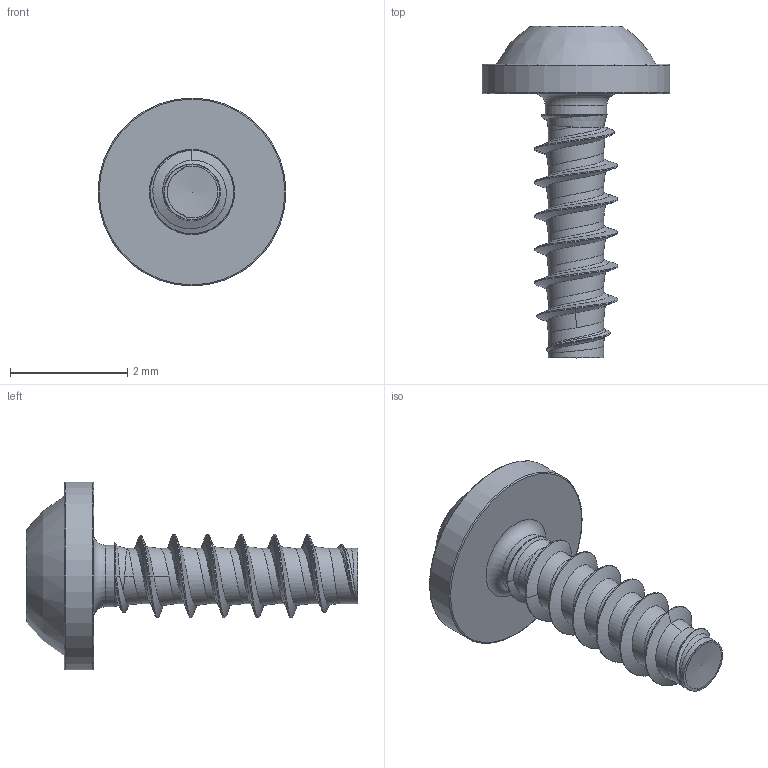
import cadquery as cq
import math


washer_radius = 1.6
washer_thickness = 0.5
washer_edge_round = 0.02
dome_base_radius = 1.36
dome_top_radius = 0.78
dome_height = 0.65
dome_bulge = 0.06

shank_length = 4.5
neck_radius = 0.525
neck_fillet = 0.2
root_radius = 0.47
thread_start_depth = 0.35
root_start_depth = 0.57
tip_dish_radius = 0.44
tip_dish_depth = 0.03

pitch = 0.57
crest_radius = 0.71
crest_flat = 0.02
upper_flank_width = 0.105
upper_flank_break = (0.058, 0.555)
lower_flank_width = 0.082
ramp_top_radius = 0.503
ramp_end = 0.38
foot_radius = 0.465
burial_radius = 0.42
burial_inset = 0.01
zero_turn_depth = 0.656
points_per_turn = 24

run_up_start_turn = -1.0
helix_start_turn = -0.5
full_height_turn = 0.5
run_out_start_turn = 5.25
run_out_end_turn = 6.7
run_up_start_depth = 0.34
run_up_start_width = 0.45
run_up_start_height = 0.3
run_out_end_width = 0.5
run_out_end_height = 0


def make_body():
    """Dome, washer, neck and core turned as one profile about the Y axis."""
    dome_top = washer_thickness + dome_height
    chord_run = dome_base_radius - dome_top_radius
    chord = math.hypot(chord_run, dome_height)
    dome_mid = (
        (dome_base_radius + dome_top_radius) / 2 + dome_bulge * dome_height / chord,
        washer_thickness + dome_height / 2 + dome_bulge * chord_run / chord,
    )
    diagonal = neck_fillet * (1 - math.sqrt(0.5))
    neck_mid = (neck_radius + diagonal, -diagonal)
    washer_side = washer_radius - washer_edge_round
    edge_diagonal = washer_edge_round * (1 - math.sqrt(0.5))
    edge_mid_radius = washer_radius - edge_diagonal
    profile = (
        cq.Workplane("XY")
        .moveTo(0, dome_top)
        .lineTo(dome_top_radius, dome_top)
        .threePointArc(dome_mid, (dome_base_radius, washer_thickness))
        .lineTo(washer_side, washer_thickness)
        .threePointArc(
            (edge_mid_radius, washer_thickness - edge_diagonal),
            (washer_radius, washer_thickness - washer_edge_round),
        )
        .lineTo(washer_radius, washer_edge_round)
        .threePointArc((edge_mid_radius, edge_diagonal), (washer_side, 0))
        .lineTo(neck_radius + neck_fillet, 0)
        .threePointArc(neck_mid, (neck_radius, -neck_fillet))
        .lineTo(neck_radius, -thread_start_depth)
        .lineTo(root_radius, -root_start_depth)
        .lineTo(root_radius, -shank_length)
        .lineTo(tip_dish_radius, -shank_length)
        .lineTo(0, tip_dish_depth - shank_length)
        .close()
    )
    return profile.revolve(360, (0, 0, 0), (0, 1, 0))


def thread_section(width, height):
    """Corners (depth from the crest, radius) of the thread, scaled from its full width and height."""
    break_offset, break_radius = upper_flank_break
    exposed = [
        (-upper_flank_width, foot_radius),
        (-break_offset, break_radius),
        (-crest_flat / 2, crest_radius),
        (crest_flat / 2, crest_radius),
        (lower_flank_width, ramp_top_radius),
        (ramp_end, foot_radius),
    ]
    scaled = [
        (width * offset, foot_radius + height * (radius - foot_radius)) for offset, radius in exposed
    ]
    buried_upper = (-width * (upper_flank_width + burial_inset), burial_radius)
    buried_lower = (width * (ramp_end + burial_inset), burial_radius)
    return [buried_upper, *scaled, buried_lower]


def thread_faces(start, end):
    """Helical faces between two stations, each given as (turn, crest depth, width, height)."""
    steps = math.ceil((end[0] - start[0]) * points_per_turn)
    corner_paths = [[] for _ in thread_section(1, 1)]
    for step in range(steps + 1):
        turn, depth, width, height = (a + (b - a) * step / steps for a, b in zip(start, end))
        angle = 2 * math.pi * turn
        for path, (offset, radius) in zip(corner_paths, thread_section(width, height)):
            path.append(cq.Vector(radius * math.cos(angle), -depth - offset, radius * math.sin(angle)))
    edges = [cq.Edge.makeSpline(path) for path in corner_paths]
    return [cq.Face.makeRuledSurface(edges[i - 1], edges[i]) for i in range(len(edges))]


def thread_cap(station):
    """Flat face that closes the thread at one of its ends."""
    turn, depth, width, height = station
    angle = 2 * math.pi * turn
    corners = [
        cq.Vector(radius * math.cos(angle), -depth - offset, radius * math.sin(angle))
        for offset, radius in thread_section(width, height)
    ]
    return cq.Face.makeFromWires(cq.Wire.makePolygon(corners, close=True))


def helix_depth(turn):
    """Crest depth on the regular helix."""
    return zero_turn_depth + pitch * turn


def make_thread():
    """Right-hand thread with a flattened, rising start and a fading end."""
    run_up_share = (helix_start_turn - run_up_start_turn) / (full_height_turn - run_up_start_turn)
    helix_start_height = run_up_start_height + (1 - run_up_start_height) * run_up_share
    stations = [
        (run_up_start_turn, run_up_start_depth, run_up_start_width, run_up_start_height),
        (helix_start_turn, helix_depth(helix_start_turn), 1, helix_start_height),
        (full_height_turn, helix_depth(full_height_turn), 1, 1),
        (run_out_start_turn, helix_depth(run_out_start_turn), 1, 1),
        (run_out_end_turn, helix_depth(run_out_end_turn), run_out_end_width, run_out_end_height),
    ]
    faces = [thread_cap(stations[0]), thread_cap(stations[-1])]
    for start, end in zip(stations, stations[1:]):
        faces.extend(thread_faces(start, end))
    ridge = cq.Workplane(cq.Solid.makeSolid(cq.Shell.makeShell(faces)).fix())
    threaded_zone = (
        cq.Workplane("XZ", origin=(0, -thread_start_depth, 0))
        .circle(washer_radius)
        .extrude(shank_length - thread_start_depth)
    )
    return ridge.intersect(threaded_zone)


result = make_body().union(make_thread())